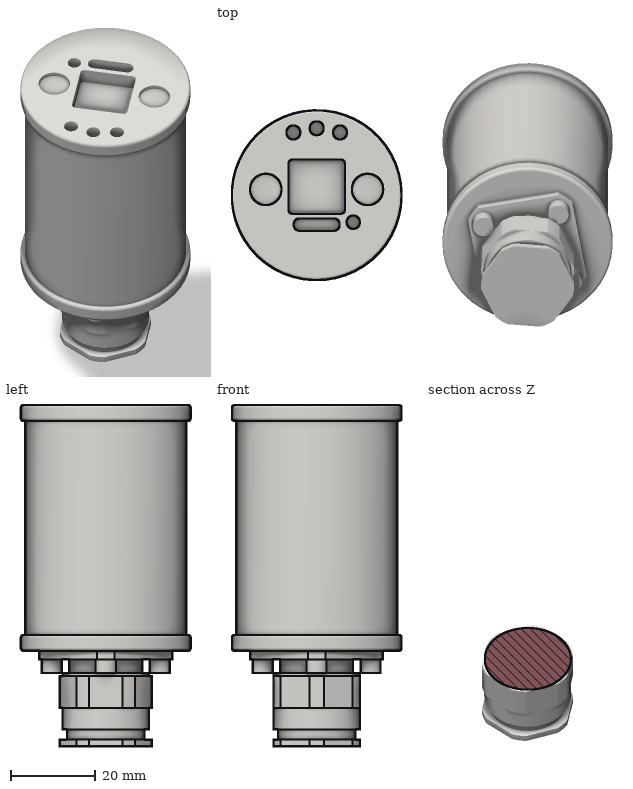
import cadquery as cq
import math

TOTAL_HEIGHT = 81.15
LOCK_NUT_TOP = 1.6
NECK_TOP = 4.05
HEX_BOTTOM = 9.2
HEX_TOP = 16.7
COLLAR_TOP = 17.45
PLATE_BOTTOM = 20.7
PLATE_TOP = 22.7

TUBE_DIAMETER = 38.4
CAP_DIAMETER = 40.4
CAP_THICKNESS = 3.8
CAP_EDGE_RADIUS = 0.7

RECESS_DEPTH = 4.0
WINDOW_LENGTH = 13.4
WINDOW_WIDTH = 12.9
WINDOW_CENTER_Y = 2.0
WINDOW_CORNER_RADIUS = 1.0
SLOT_LENGTH = 10.95
SLOT_WIDTH = 3.0
SLOT_CENTER_Y = -7.0
BUTTON_DIAMETER = 7.5
BUTTON_DEPTH = 1.05
BUTTON_OFFSET_X = 12.1
BUTTON_CENTER_Y = 1.4
LAMP_HOLE_DIAMETER = 3.3
LAMP_CIRCLE_RADIUS = 15.9
LAMP_SPACING_ANGLE = 20.4
SENSOR_HOLE_DIAMETER = 3.2
SENSOR_HOLE_CENTER = (8.7, -6.4)

SCREW_CIRCLE_RADIUS = 12.8
SCREW_COUNT = 4
SCREW_HEAD_DIAMETER = 4.8
PLATE_SIDE = 25.15
PLATE_CORNER_DIAMETER = 31.65
SHAFT_DIAMETER = 17.4
COLLAR_DIAMETER = 20.6
NECK_DIAMETER = 18.5
HEX_ACROSS_FLATS = COLLAR_DIAMETER
HEX_CORNER_DIAMETER = 22.1


def cylinder(diameter, bottom, top, center=(0, 0)):
    """Upright cylinder between two heights."""
    return cq.Workplane("XY", origin=(*center, bottom)).circle(diameter / 2).extrude(top - bottom)


def cap(bottom):
    """Disc with both rims rounded."""
    disc = cylinder(CAP_DIAMETER, bottom, bottom + CAP_THICKNESS)
    return disc.faces("|Z").edges().fillet(CAP_EDGE_RADIUS)


def top_hole(diameter, depth, center):
    """Cutter for a blind round hole in the top face."""
    return cylinder(diameter, TOTAL_HEIGHT - depth, TOTAL_HEIGHT, center)


def window_recess():
    """Cutter for the rectangular window with rounded corners."""
    floor = TOTAL_HEIGHT - RECESS_DEPTH
    block = (
        cq.Workplane("XY", origin=(0, WINDOW_CENTER_Y, floor))
        .rect(WINDOW_LENGTH, WINDOW_WIDTH)
        .extrude(RECESS_DEPTH)
    )
    return block.edges("|Z").fillet(WINDOW_CORNER_RADIUS)


def slot_recess():
    """Cutter for the round-ended slot beside the window."""
    floor = TOTAL_HEIGHT - RECESS_DEPTH
    return (
        cq.Workplane("XY", origin=(0, SLOT_CENTER_Y, floor))
        .slot2D(SLOT_LENGTH, SLOT_WIDTH)
        .extrude(RECESS_DEPTH)
    )


def make_housing():
    """Tube with two caps and the recesses of the top face."""
    body = cylinder(TUBE_DIAMETER, PLATE_TOP + CAP_THICKNESS / 2, TOTAL_HEIGHT - CAP_THICKNESS / 2)
    body = body.union(cap(PLATE_TOP)).union(cap(TOTAL_HEIGHT - CAP_THICKNESS))
    body = body.cut(window_recess()).cut(slot_recess())
    for side in (-1, 1):
        center = (side * BUTTON_OFFSET_X, BUTTON_CENTER_Y)
        body = body.cut(top_hole(BUTTON_DIAMETER, BUTTON_DEPTH, center))
    for step in (-1, 0, 1):
        angle = math.radians(step * LAMP_SPACING_ANGLE)
        center = (LAMP_CIRCLE_RADIUS * math.sin(angle), LAMP_CIRCLE_RADIUS * math.cos(angle))
        body = body.cut(top_hole(LAMP_HOLE_DIAMETER, RECESS_DEPTH, center))
    return body.cut(top_hole(SENSOR_HOLE_DIAMETER, RECESS_DEPTH, SENSOR_HOLE_CENTER))


def mounting_plate():
    """Square plate turned 45 degrees, its corners turned down to a circle."""
    square = (
        cq.Workplane("XY", origin=(0, 0, PLATE_BOTTOM))
        .rect(PLATE_SIDE, PLATE_SIDE)
        .extrude(PLATE_TOP - PLATE_BOTTOM)
        .rotate((0, 0, 0), (0, 0, 1), 45)
    )
    return square.intersect(cylinder(PLATE_CORNER_DIAMETER, PLATE_BOTTOM, PLATE_TOP))


def rounded_hexagon(bottom, top):
    """Hexagon with flats facing +X and -X, its corners turned down to a circle."""
    across_corners = HEX_ACROSS_FLATS / math.cos(math.pi / 6)
    hexagon = (
        cq.Workplane("XY", origin=(0, 0, bottom))
        .polygon(6, across_corners)
        .extrude(top - bottom)
        .rotate((0, 0, 0), (0, 0, 1), 30)
    )
    return hexagon.intersect(cylinder(HEX_CORNER_DIAMETER, bottom, top))


def make_connector():
    """Plate, screw heads and the stepped round stem below them."""
    body = mounting_plate()
    body = body.union(cylinder(SHAFT_DIAMETER, COLLAR_TOP, PLATE_BOTTOM))
    body = body.union(cylinder(COLLAR_DIAMETER, NECK_TOP, COLLAR_TOP))
    body = body.union(rounded_hexagon(HEX_BOTTOM, HEX_TOP))
    body = body.union(cylinder(NECK_DIAMETER, LOCK_NUT_TOP, NECK_TOP))
    body = body.union(rounded_hexagon(0, LOCK_NUT_TOP))
    for index in range(SCREW_COUNT):
        angle = 2 * math.pi * index / SCREW_COUNT
        center = (SCREW_CIRCLE_RADIUS * math.cos(angle), SCREW_CIRCLE_RADIUS * math.sin(angle))
        body = body.union(cylinder(SCREW_HEAD_DIAMETER, COLLAR_TOP, PLATE_BOTTOM, center))
    return body


housing = make_housing()
connector = make_connector()

result = cq.Compound.makeCompound([housing.solids().val(), connector.solids().val()])